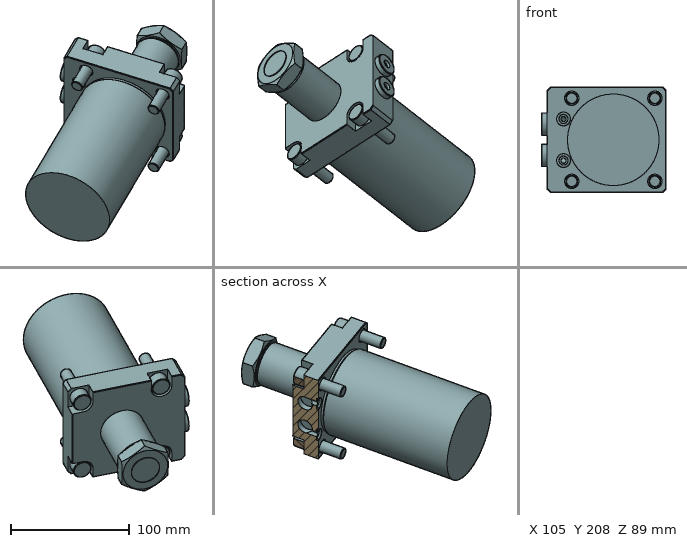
import cadquery as cq
import math


plate_height = 89.0
plate_thickness = 25.0
plate_right = plate_height / 2
plate_left = -55.5
corner_chamfer = 3.0
edge_chamfer = 0.6

barrel_radius = 38.5
barrel_end = -121.5
neck_length = 2.0
neck_step = 1.0
neck_radius = barrel_radius - neck_step

total_length = 208.0
rod_radius = 19.1
rod_chamfer = 1.0
rod_neck_radius = rod_radius - rod_chamfer
hex_across_flats = 41.0
hex_corner_radius = hex_across_flats / 2 / math.cos(math.pi / 6)
hex_length = 12.9
hex_face_radius = 19.8
hex_chamfer_length = 1.9
head_boss_radius = 12.5
head_boss_height = 0.6
head_boss_end = barrel_end + total_length
hex_end = head_boss_end - head_boss_height
hex_start = hex_end - hex_length
rod_neck_length = 1.0
rod_chamfer_end = hex_start - rod_neck_length

bolt_offset = 35.0
bolt_radius = 5.0
bolt_hole_radius = 6.0
bolt_head_radius = 8.0
bolt_head_height = 10.0
bolt_chamfer = 0.6
bolt_reach = 20.2
pocket_width = 18.0
pocket_depth = 10.8
pocket_floor = plate_thickness - pocket_depth
pocket_middle = plate_thickness - pocket_depth / 2
slot_length = plate_height / 2 - bolt_offset
bolt_places = [(x, z) for x in (-bolt_offset, bolt_offset) for z in (-bolt_offset, bolt_offset)]

port_y = 12.9
port_offset = 13.0
port_radius = 6.7
port_depth = 18.7
plug_head_radius = 9.5
total_width = 105.0
plug_head_height = total_width - (plate_right - plate_left)
plug_head_chamfer = 0.6
plug_shank_length = 10.0
socket_radius = 3.5
socket_depth = 2.5
socket_tip_radius = 3.1

face_port_x = -41.8
face_port_offset = 17.5
face_port_radius = 2.0
ring_section_radius = 1.0
ring_recess_radius = 5.8
ring_recess_depth = 1.9
ring_radius = ring_recess_radius - ring_section_radius
side_signs = (-1, 1)


def rod_along_y(x, z, radius, y_start, y_end):
    """A solid cylinder parallel to Y."""
    return cq.Workplane(cq.Solid.makeCylinder(
        radius, y_end - y_start, cq.Vector(x, y_start, z), cq.Vector(0, 1, 0)))


def rod_along_x(y, z, radius, x_start, x_end):
    """A solid cylinder parallel to X."""
    return cq.Workplane(cq.Solid.makeCylinder(
        radius, x_end - x_start, cq.Vector(x_start, y, z), cq.Vector(1, 0, 0)))


def turned_about_y(profile):
    """Revolve a closed (radius, y) outline about the Y axis."""
    return cq.Workplane("XY").polyline(profile).close().revolve(360, (0, 0, 0), (0, 1, 0))


def make_plate():
    """Flange plate with chamfered corners; its long face edges, except on the left, are broken."""
    plate = (
        cq.Workplane("XY")
        .box(plate_right - plate_left, plate_thickness, plate_height, centered=False)
        .translate((plate_left, 0, -plate_height / 2))
        .edges("|Y")
        .chamfer(corner_chamfer)
    )
    broken_edges = plate.faces("<Y or >Y").edges("not <X")
    return plate.newObject(broken_edges.vals()).chamfer(edge_chamfer)


def make_barrel():
    """Barrel with a short, narrower neck against the plate."""
    return turned_about_y([
        (0, 0),
        (neck_radius, 0),
        (neck_radius, -neck_length),
        (barrel_radius, -neck_length - neck_step),
        (barrel_radius, barrel_end),
        (0, barrel_end),
    ])


def make_rod():
    """Rod that narrows to a small neck below the hexagonal head."""
    return turned_about_y([
        (0, plate_thickness),
        (rod_radius, plate_thickness),
        (rod_radius, rod_chamfer_end - rod_chamfer),
        (rod_neck_radius, rod_chamfer_end),
        (rod_neck_radius, hex_start),
        (0, hex_start),
    ])


def make_hex_head():
    """Hexagon with corners at top and bottom, both ends turned conical, and a low round boss."""
    corners = [
        (hex_corner_radius * math.sin(k * math.pi / 3), hex_corner_radius * math.cos(k * math.pi / 3))
        for k in range(6)
    ]
    hexagon = cq.Workplane("XZ", origin=(0, hex_end, 0)).polyline(corners).close().extrude(hex_length)
    turned_blank = turned_about_y([
        (0, hex_start),
        (hex_face_radius, hex_start),
        (hex_corner_radius, hex_start + hex_chamfer_length),
        (hex_corner_radius, hex_end - hex_chamfer_length),
        (hex_face_radius, hex_end),
        (0, hex_end),
    ])
    boss = rod_along_y(0, 0, head_boss_radius, hex_end, head_boss_end)
    return hexagon.intersect(turned_blank).union(boss)


def bolt_pocket(x, z):
    """Clearance hole and a rounded pocket, open at the plate's top or bottom and, if near it, right side."""
    hole = rod_along_y(x, z, bolt_hole_radius, 0, plate_thickness)
    round_end = rod_along_y(x, z, pocket_width / 2, pocket_floor, plate_thickness)
    end_slot = (
        cq.Workplane("XY")
        .box(pocket_width, pocket_depth, slot_length)
        .translate((x, pocket_middle, z + math.copysign(slot_length / 2, z)))
    )
    pocket = hole.union(round_end).union(end_slot)
    if x < 0:
        return pocket
    corner_slot = (
        cq.Workplane("XY")
        .box(slot_length, pocket_depth, pocket_width / 2 + slot_length)
        .translate((
            x + slot_length / 2,
            pocket_middle,
            z + math.copysign((slot_length - pocket_width / 2) / 2, z),
        ))
    )
    return pocket.union(corner_slot)


def port_passage(sign):
    """Side port bore, the front port that meets it, and the recess for the O-ring."""
    side_bore = rod_along_x(port_y, sign * port_offset, port_radius, plate_left, plate_left + port_depth)
    z = sign * face_port_offset
    front_bore = rod_along_y(face_port_x, z, face_port_radius, 0, port_y)
    recess = rod_along_y(face_port_x, z, ring_recess_radius, 0, ring_recess_depth)
    return side_bore.union(front_bore).union(recess)


def make_housing():
    """Plate, barrel, rod and hexagonal head in one piece, with the bolt pockets and ports cut."""
    housing = make_plate()
    for x, z in bolt_places:
        housing = housing.cut(bolt_pocket(x, z))
    housing = housing.union(make_barrel()).union(make_rod()).union(make_hex_head())
    for sign in side_signs:
        housing = housing.cut(port_passage(sign))
    return housing


def make_bolt(x, z):
    """Cylinder-head bolt resting on the pocket floor."""
    head_top = pocket_floor + bolt_head_height
    return turned_about_y([
        (0, head_top),
        (bolt_head_radius - bolt_chamfer, head_top),
        (bolt_head_radius, head_top - bolt_chamfer),
        (bolt_head_radius, pocket_floor),
        (bolt_radius, pocket_floor),
        (bolt_radius, bolt_chamfer - bolt_reach),
        (bolt_radius - bolt_chamfer, -bolt_reach),
        (0, -bolt_reach),
    ]).translate((x, 0, z))


def make_plug(sign):
    """Round-headed plug whose shank fills the outer part of the side port; its socket ends in a cone."""
    z = sign * port_offset
    head_face = plate_left - plug_head_height
    head = rod_along_x(port_y, z, plug_head_radius, head_face, plate_left)
    head = head.faces("<X").chamfer(plug_head_chamfer)
    shank = rod_along_x(port_y, z, port_radius, plate_left, plate_left + plug_shank_length)
    socket = rod_along_x(port_y, z, socket_radius, head_face, head_face + socket_depth)
    socket_tip = cq.Workplane(cq.Solid.makeCone(
        socket_tip_radius, 0, socket_tip_radius,
        cq.Vector(head_face + socket_depth, port_y, z), cq.Vector(1, 0, 0)))
    return head.union(shank).cut(socket).cut(socket_tip)


def make_o_ring(sign):
    """O-ring resting on the floor of its recess."""
    return cq.Workplane(cq.Solid.makeTorus(
        ring_radius, ring_section_radius,
        cq.Vector(face_port_x, ring_recess_depth - ring_section_radius, sign * face_port_offset),
        cq.Vector(0, 1, 0)))


housing = make_housing()
bolts = [make_bolt(x, z).val() for x, z in bolt_places]
plugs = [make_plug(sign).val() for sign in side_signs]
o_rings = [make_o_ring(sign).val() for sign in side_signs]

result = cq.Compound.makeCompound([housing.val(), *bolts, *plugs, *o_rings])